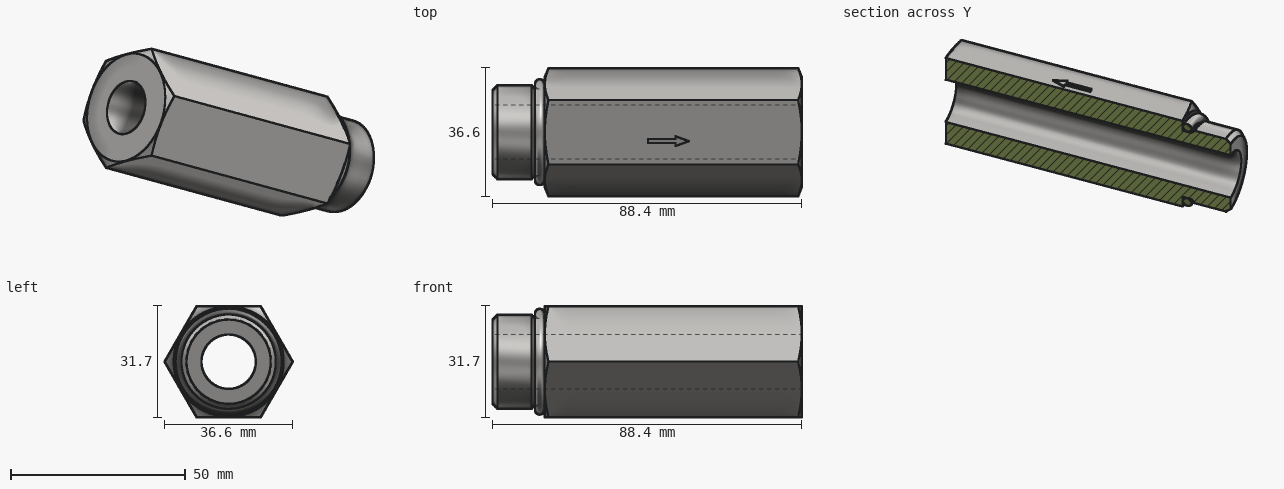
import cadquery as cq
import math

total_length = 88.4
hex_start = 14.9

across_flats = 31.7
across_corners = across_flats / math.cos(math.radians(30))
end_face_diameter = 31.5
corner_chamfer_length = 1.1

spigot_diameter = 27.0
spigot_tip_diameter = 24.0
neck_diameter = 24.7
spigot_end = 11.1
bore_diameter = 15.5

ring_section = 2.8

arrow_tail_x = 44.5
arrow_shoulder_x = 52.2
arrow_tip_x = 56.1
arrow_y = -2.6
arrow_shaft_width = 1.15
arrow_head_width = 2.8
arrow_depth = 0.2


def cone_trimmed_hexagon():
    """Hexagonal bar along X whose corners are turned to a cone at both ends."""
    hexagon = (
        cq.Workplane("YZ", origin=(hex_start, 0, 0))
        .polygon(6, across_corners)
        .extrude(total_length - hex_start)
    )
    face_radius = end_face_diameter / 2
    corner_radius = across_corners / 2
    turned_envelope = (
        cq.Workplane("XY")
        .moveTo(hex_start, 0)
        .lineTo(hex_start, face_radius)
        .lineTo(hex_start + corner_chamfer_length, corner_radius)
        .lineTo(total_length - corner_chamfer_length, corner_radius)
        .lineTo(total_length, face_radius)
        .lineTo(total_length, 0)
        .close()
        .revolve(360, (0, 0, 0), (1, 0, 0))
    )
    return hexagon.intersect(turned_envelope)


def turned_spigot():
    """Spigot with a 45 degree tip chamfer and a 45 degree step down to the neck."""
    spigot_radius = spigot_diameter / 2
    tip_radius = spigot_tip_diameter / 2
    neck_radius = neck_diameter / 2
    return (
        cq.Workplane("XY")
        .lineTo(0, tip_radius)
        .lineTo(spigot_radius - tip_radius, spigot_radius)
        .lineTo(spigot_end, spigot_radius)
        .lineTo(spigot_end + spigot_radius - neck_radius, neck_radius)
        .lineTo(hex_start, neck_radius)
        .lineTo(hex_start, 0)
        .close()
        .revolve(360, (0, 0, 0), (1, 0, 0))
    )


def flow_arrow():
    """Cutter for the arrow that points along +X."""
    half_shaft = arrow_shaft_width / 2
    half_head = arrow_head_width / 2
    return (
        cq.Workplane("XY", origin=(0, arrow_y, across_flats / 2))
        .moveTo(arrow_tail_x, -half_shaft)
        .lineTo(arrow_shoulder_x, -half_shaft)
        .lineTo(arrow_shoulder_x, -half_head)
        .lineTo(arrow_tip_x, 0)
        .lineTo(arrow_shoulder_x, half_head)
        .lineTo(arrow_shoulder_x, half_shaft)
        .lineTo(arrow_tail_x, half_shaft)
        .close()
        .extrude(-arrow_depth)
    )


def make_fitting():
    """Hexagonal barrel and spigot in one piece, bored through."""
    bore = cq.Workplane("YZ").circle(bore_diameter / 2).extrude(total_length)
    return cone_trimmed_hexagon().union(turned_spigot()).cut(bore).cut(flow_arrow())


def make_seal_ring():
    """O-ring resting on the neck and against the hexagon shoulder."""
    section_radius = ring_section / 2
    ring_radius = neck_diameter / 2 + section_radius
    return (
        cq.Workplane("XY")
        .moveTo(hex_start - section_radius, ring_radius)
        .circle(section_radius)
        .revolve(360, (0, 0, 0), (1, 0, 0))
    )


fitting = make_fitting()
seal_ring = make_seal_ring()

result = cq.Compound.makeCompound([fitting.val(), seal_ring.val()])